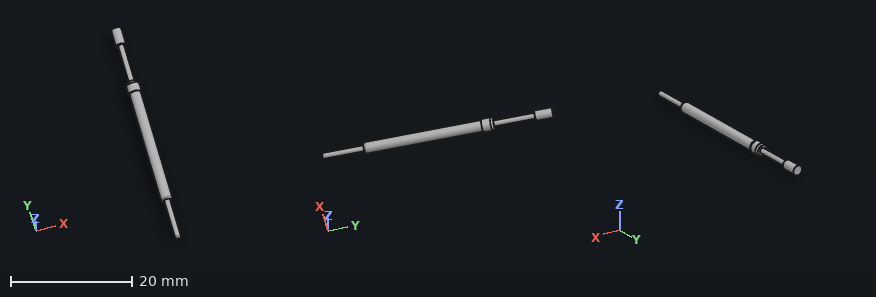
import cadquery as cq

total_length = 39.1
head_length = 3.0
body_start = 7.1
collar_start = 27.15
collar_end = 29.13
bevel_length = 0.45
bevel_start = collar_end - bevel_length
head_start = total_length - head_length

pin_diameter = 1.05
body_diameter = 2.0
collar_diameter = 2.3
bevel_tip_diameter = 1.9
head_diameter = 1.8

end_round = 0.295


def cylinder(diameter, start, end):
    """Cylinder around the Y axis between two stations."""
    base = cq.Workplane("XZ", origin=(0, start, 0))
    return base.circle(diameter / 2).extrude(start - end)


def rounded_cylinder(diameter, start, end):
    """Cylinder around the Y axis with its edge at the start station rounded."""
    return cylinder(diameter, start, end).faces("<Y").edges().fillet(end_round)


def cone(start_diameter, end_diameter, start, end):
    """Truncated cone around the Y axis between two stations."""
    base_centre = cq.Vector(0, start, 0)
    axis = cq.Vector(0, 1, 0)
    solid = cq.Solid.makeCone(start_diameter / 2, end_diameter / 2, end - start, base_centre, axis)
    return cq.Workplane(obj=solid)


tail = rounded_cylinder(pin_diameter, 0, body_start)
body = rounded_cylinder(body_diameter, body_start, collar_start)
collar = cylinder(collar_diameter, collar_start, bevel_start)
collar_bevel = cone(collar_diameter, bevel_tip_diameter, bevel_start, collar_end)
plunger = cylinder(pin_diameter, collar_end, head_start)
head = cylinder(head_diameter, head_start, total_length)

result = tail.union(body).union(collar).union(collar_bevel).union(plunger).union(head)